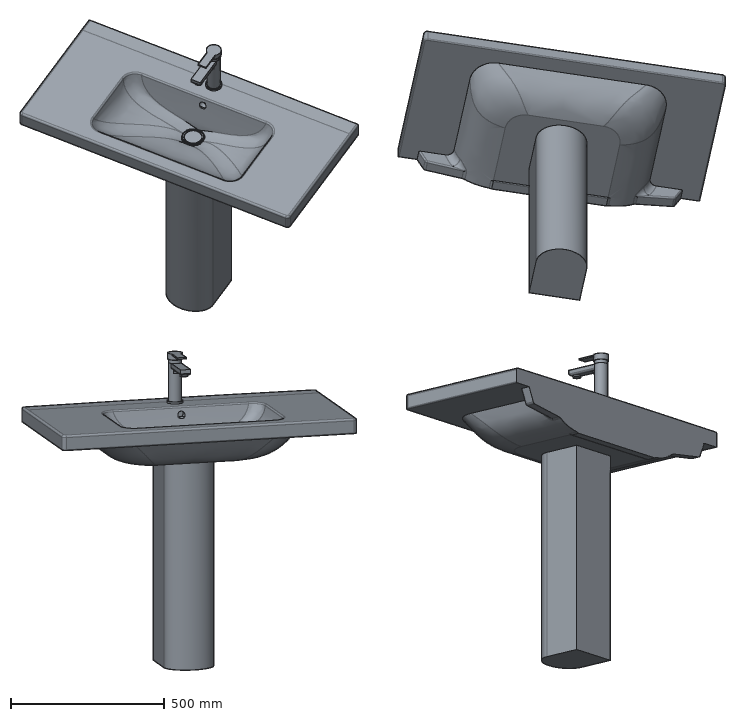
import cadquery as cq
import math


MARGIN = 1.0

SLAB_WIDTH = 1000.29
SLAB_DEPTH = 480.19
SLAB_THICKNESS = 51.0
DECK_Z = 847.0
SLAB_BOTTOM_Z = DECK_Z - SLAB_THICKNESS
SLAB_CORNER_RADIUS = 12.0
DECK_EDGE_RADIUS = 7.0
LOWER_EDGE_RADIUS = 3.5

RISE_DEPTH = 51.0
RISE_HEIGHT = 1.47

SHELL_BOTTOM_Z = 694.0
SHELL_SECTIONS = [
    (SLAB_BOTTOM_Z, 325.0, 428.0, 80.0),
    (766.0, 314.0, 412.0, 100.0),
    (734.0, 292.0, 390.0, 110.0),
    (706.0, 246.0, 352.0, 95.0),
    (SHELL_BOTTOM_Z, 190.0, 312.0, 65.0),
]

PLATE_DEPTH = 35.0
PLATE_TOP_HALF = 437.0
PLATE_EDGE_RADIUS = 5.0
PLATE_TIP_HALF = 414.0
PLATE_TIP_Z = 744.0
PLATE_TIP_RADIUS = 10.0
PLATE_KNEE_HALF = 284.0
PLATE_KNEE_Z = 726.0
PLATE_FOOT_HALF = 190.0
PLATE_FOOT_Z = 692.0
PLATE_BOWL_RADIUS = 24.0

DRAIN_REACH = 209.0
DRAIN_SEAT_Z = 731.0
FLOOR_HALF = 38.0
FLOOR_CORNER_RADIUS = 37.0
BOWL_SECTIONS = [
    (DECK_Z, 275.0, 135.0, 429.0, 44.0),
    (815.0, 262.0, 145.0, 403.0, 44.0),
    (770.0, 195.0, 160.0, 330.0, 42.0),
    (DRAIN_SEAT_Z, FLOOR_HALF, DRAIN_REACH - FLOOR_HALF, DRAIN_REACH + FLOOR_HALF, FLOOR_CORNER_RADIUS),
]
BOWL_RIM_RADIUS = 6.0

OVERFLOW_RADIUS = 12.0
OVERFLOW_Z = 820.0
OVERFLOW_END = 120.0

DRAIN_RADIUS = 36.0
DRAIN_LIP_RADIUS = 29.0
DRAIN_HEIGHT = 12.0
DRAIN_PROUD = 3.0
DRAIN_BOTTOM_Z = DRAIN_SEAT_Z + DRAIN_PROUD - DRAIN_HEIGHT
DRAIN_DISH_DEPTH = 2.0
DRAIN_LIP_CHAMFER = 2.0

PEDESTAL_WIDTH = 168.0
PEDESTAL_BACK = 100.0
PEDESTAL_FRONT = 292.0
PEDESTAL_NOSE = 65.0

TAP_TOP_Z = 1012.4
TAP_REACH = 67.0
TAP_RADIUS = 21.8
TAP_BODY_TOP_Z = 980.5
TAP_FLANGE_RADIUS = 26.5
TAP_FLANGE_HEIGHT = 6.0
SPOUT_WIDTH = 34.0
SPOUT_TIP_REACH = 192.0
SPOUT_HEIGHT = 19.0
SPOUT_EDGE_RADIUS = 6.0
SPOUT_TIP_CHAMFER = 6.0
SPOUT_ROOT_RADIUS = 14.0
AERATOR_RADIUS = 13.0
AERATOR_REACH = 172.0
AERATOR_DROP = 6.0
LEVER_CAP_RADIUS = 24.5
LEVER_CAP_HEIGHT = 20.5
LEVER_THICKNESS = 5.0
LEVER_WIDTH = 30.0
LEVER_TIP_REACH = 148.5


def cylinder(radius, bottom, height, reach):
    """Upright cylinder on the middle plane, standing `reach` in front of the wall."""
    return cq.Workplane("XY", origin=(0, -reach, bottom)).circle(radius).extrude(height)


def block(width, back, front, bottom, height):
    """Block centred on the middle plane, from `back` to `front` in front of the wall."""
    return (
        cq.Workplane("XY", origin=(0, -(back + front) / 2, bottom))
        .rect(width, front - back)
        .extrude(height)
    )


def arc_middle(center_x, center_y, radius, angle):
    """Point on a corner arc at the given angle in degrees."""
    turn = math.radians(angle)
    return (center_x + radius * math.cos(turn), center_y + radius * math.sin(turn))


def shell_outline(height, half, reach, radius):
    """Closed wire with square corners at the wall and round corners at the front."""
    side = half - radius
    corner_y = -(reach - radius)
    return (
        cq.Workplane("XY", origin=(0, 0, height))
        .moveTo(half, 0)
        .lineTo(half, corner_y)
        .threePointArc(arc_middle(side, corner_y, radius, -45), (side, -reach))
        .lineTo(-side, -reach)
        .threePointArc(arc_middle(-side, corner_y, radius, -135), (-half, corner_y))
        .lineTo(-half, 0)
        .close()
        .val()
    )


def bowl_outline(height, half, back, front, radius):
    """Closed rounded rectangle between the back and front walls of the bowl."""
    side = half - radius
    back_y = -(back + radius)
    front_y = -(front - radius)
    return (
        cq.Workplane("XY", origin=(0, 0, height))
        .moveTo(half, back_y)
        .lineTo(half, front_y)
        .threePointArc(arc_middle(side, front_y, radius, -45), (side, -front))
        .lineTo(-side, -front)
        .threePointArc(arc_middle(-side, front_y, radius, -135), (-half, front_y))
        .lineTo(-half, back_y)
        .threePointArc(arc_middle(-side, back_y, radius, 135), (-side, -back))
        .lineTo(side, -back)
        .threePointArc(arc_middle(side, back_y, radius, 45), (half, back_y))
        .close()
        .val()
    )


def smooth_loft(wires):
    """Smooth solid through the given wires."""
    return cq.Workplane(obj=cq.Solid.makeLoft(wires))


def make_slab():
    slab = block(SLAB_WIDTH, 0, SLAB_DEPTH, SLAB_BOTTOM_Z, SLAB_THICKNESS)
    slab = slab.edges("|Z and <Y").fillet(SLAB_CORNER_RADIUS)
    slab = slab.faces(">Z").edges("not(>Y)").fillet(DECK_EDGE_RADIUS)
    return slab.faces("<Z").edges("not(>Y)").fillet(LOWER_EDGE_RADIUS)


def make_rise():
    half = SLAB_WIDTH / 2 - DECK_EDGE_RADIUS
    root_z = DECK_Z - DECK_EDGE_RADIUS
    wall_end = (
        cq.Workplane("XZ")
        .moveTo(-half, root_z)
        .lineTo(-half, DECK_Z)
        .threePointArc((0, DECK_Z + RISE_HEIGHT), (half, DECK_Z))
        .lineTo(half, root_z)
        .close()
        .val()
    )
    deck_end = (
        cq.Workplane("XZ", origin=(0, -RISE_DEPTH, 0))
        .polyline([(-half, root_z), (-half, DECK_Z), (half, DECK_Z), (half, root_z)])
        .close()
        .val()
    )
    return cq.Workplane(obj=cq.Solid.makeLoft([wall_end, deck_end], True))


def make_plate():
    right_side = [
        (PLATE_TOP_HALF, SLAB_BOTTOM_Z),
        (PLATE_TIP_HALF, PLATE_TIP_Z),
        (PLATE_KNEE_HALF, PLATE_KNEE_Z),
        (PLATE_FOOT_HALF, PLATE_FOOT_Z),
    ]
    left_side = [(-x, z) for x, z in reversed(right_side)]
    plate = cq.Workplane("XZ").polyline(right_side + left_side).close().extrude(PLATE_DEPTH)
    tips = cq.selectors.BoxSelector(
        (-PLATE_TOP_HALF, -PLATE_DEPTH, PLATE_TIP_Z - MARGIN),
        (PLATE_TOP_HALF, 0, PLATE_TIP_Z + MARGIN),
    )
    plate = plate.edges("|Y").edges(tips).fillet(PLATE_TIP_RADIUS)
    return plate.faces("<Y").edges("not(>Z)").fillet(PLATE_EDGE_RADIUS)


def make_overflow_cutter():
    bowl_wall = BOWL_SECTIONS[1][2]
    return (
        cq.Workplane("XZ", origin=(0, -OVERFLOW_END, OVERFLOW_Z))
        .circle(OVERFLOW_RADIUS)
        .extrude(bowl_wall - OVERFLOW_END)
    )


def make_underside():
    """Bowl shell joined to the mounting plate, with a fillet where the plate meets its flanks."""
    shell = smooth_loft([shell_outline(*section) for section in SHELL_SECTIONS])
    underside = shell.union(make_plate())
    shell_half = SHELL_SECTIONS[0][1]
    junctions = cq.selectors.BoxSelector(
        (-shell_half, -PLATE_DEPTH - MARGIN, PLATE_TIP_Z),
        (shell_half, -PLATE_DEPTH + MARGIN, SLAB_BOTTOM_Z - MARGIN),
    )
    return underside.edges(junctions).fillet(PLATE_BOWL_RADIUS)


def make_basin():
    basin = make_slab().union(make_rise()).union(make_underside())
    basin = basin.cut(smooth_loft([bowl_outline(*section) for section in reversed(BOWL_SECTIONS)]))
    rim_z, rim_half, rim_back, rim_front, _ = BOWL_SECTIONS[0]
    rim = cq.selectors.BoxSelector(
        (-rim_half - MARGIN, -rim_front - MARGIN, rim_z - MARGIN),
        (rim_half + MARGIN, -rim_back + MARGIN, rim_z + MARGIN),
    )
    basin = basin.edges(rim).fillet(BOWL_RIM_RADIUS)
    basin = basin.cut(make_overflow_cutter())
    basin = basin.cut(cylinder(DRAIN_RADIUS, DRAIN_BOTTOM_Z, DRAIN_HEIGHT, DRAIN_REACH))
    return basin.cut(cylinder(TAP_FLANGE_RADIUS, DECK_Z, TAP_FLANGE_HEIGHT, TAP_REACH))


def make_drain():
    drain = cylinder(DRAIN_RADIUS, DRAIN_BOTTOM_Z, DRAIN_HEIGHT, DRAIN_REACH)
    drain = drain.faces(">Z").edges().chamfer(DRAIN_LIP_CHAMFER)
    top_z = DRAIN_BOTTOM_Z + DRAIN_HEIGHT
    dish = cylinder(DRAIN_LIP_RADIUS, top_z - DRAIN_DISH_DEPTH, DRAIN_DISH_DEPTH, DRAIN_REACH)
    return drain.cut(dish)


def make_pedestal():
    half = PEDESTAL_WIDTH / 2
    nose_y = -(PEDESTAL_FRONT - PEDESTAL_NOSE)
    sides = block(PEDESTAL_WIDTH, PEDESTAL_BACK, -nose_y, 0, SHELL_BOTTOM_Z)
    nose = (
        cq.Workplane("XY", origin=(0, nose_y, 0)).ellipse(half, PEDESTAL_NOSE).extrude(SHELL_BOTTOM_Z)
    )
    return sides.union(nose)


def make_spout():
    bottom = TAP_BODY_TOP_Z - SPOUT_HEIGHT
    spout = block(SPOUT_WIDTH, TAP_REACH, SPOUT_TIP_REACH, bottom, SPOUT_HEIGHT)
    spout = spout.faces("<Z").edges("<Y").chamfer(SPOUT_TIP_CHAMFER)
    spout = spout.faces("<Z").edges("|Y").fillet(SPOUT_EDGE_RADIUS)
    aerator_height = AERATOR_DROP + SPOUT_HEIGHT / 2
    return spout.union(cylinder(AERATOR_RADIUS, bottom - AERATOR_DROP, aerator_height, AERATOR_REACH))


def make_spout_root():
    """Rounded gusset under the spout where it leaves the tap body."""
    bottom = TAP_BODY_TOP_Z - SPOUT_HEIGHT
    body_front = TAP_REACH + TAP_RADIUS
    width = SPOUT_WIDTH - 2 * SPOUT_EDGE_RADIUS
    outer = body_front + SPOUT_ROOT_RADIUS
    gusset = block(width, TAP_REACH, outer, bottom - SPOUT_ROOT_RADIUS, SPOUT_ROOT_RADIUS)
    hollow = (
        cq.Workplane("YZ", origin=(0, -outer, bottom - SPOUT_ROOT_RADIUS))
        .circle(SPOUT_ROOT_RADIUS)
        .extrude(width, both=True)
    )
    return gusset.cut(hollow)


def make_tap():
    body = cylinder(TAP_RADIUS, DECK_Z, TAP_BODY_TOP_Z - DECK_Z, TAP_REACH)
    flange = cylinder(TAP_FLANGE_RADIUS, DECK_Z, TAP_FLANGE_HEIGHT, TAP_REACH)
    return body.union(flange).union(make_spout()).union(make_spout_root())


def make_lever():
    cap_z = TAP_TOP_Z - LEVER_CAP_HEIGHT
    neck = cylinder(TAP_RADIUS, TAP_BODY_TOP_Z, cap_z - TAP_BODY_TOP_Z, TAP_REACH)
    cap = cylinder(LEVER_CAP_RADIUS, cap_z, LEVER_CAP_HEIGHT, TAP_REACH)
    arm_z = TAP_TOP_Z - LEVER_THICKNESS
    arm = block(LEVER_WIDTH, TAP_REACH, LEVER_TIP_REACH, arm_z, LEVER_THICKNESS)
    return neck.union(cap).union(arm)


basin = make_basin()
drain = make_drain()
pedestal = make_pedestal()
tap = make_tap()
lever = make_lever()

result = cq.Compound.makeCompound([basin.val(), drain.val(), pedestal.val(), tap.val(), lever.val()])